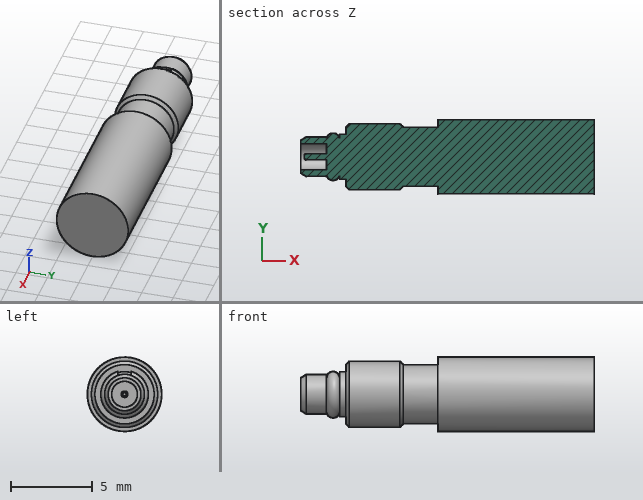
import cadquery as cq

length = 17.93

sleeve_radius = 2.28
body_radius = 2.03
neck_radius = 1.81
collar_radius = 1.38
tip_radius = 1.22
tip_face_radius = 1.0

tip_chamfer_end = 0.34
collar_start = 2.38
body_start = 2.76
body_end = 6.28
sleeve_start = 8.37
body_chamfer = body_radius - neck_radius

ring_width = 0.8
ring_section_radius = ring_width / 2
ring_outer_radius = 1.45
ring_center_radius = ring_outer_radius - ring_section_radius
ring_center_x = collar_start - ring_section_radius
groove_start = collar_start - ring_width
groove_radius = 1.08
ring_gap = 0.8

bore_radius = 0.79
bore_depth = groove_start
pin_radius = 0.2
pin_chamfer = 0.09
pin_recess = 0.22


def make_body():
    """Revolve the stepped outline about the X axis."""
    outline = [
        (0, 0),
        (0, tip_face_radius),
        (tip_chamfer_end, tip_radius),
        (groove_start, tip_radius),
        (groove_start, groove_radius),
        (collar_start, groove_radius),
        (collar_start, collar_radius),
        (body_start, collar_radius),
        (body_start, body_radius - body_chamfer),
        (body_start + body_chamfer, body_radius),
        (body_end - body_chamfer, body_radius),
        (body_end, neck_radius),
        (sleeve_start, neck_radius),
        (sleeve_start, sleeve_radius),
        (length, sleeve_radius),
        (length, 0),
    ]
    return cq.Workplane("XY").polyline(outline).close().revolve(360, (0, 0, 0), (1, 0, 0))


def make_snap_ring():
    """Round-section ring with a parallel-sided gap at the top."""
    ring = (
        cq.Workplane("XY")
        .center(ring_center_x, ring_center_radius)
        .circle(ring_section_radius)
        .revolve(360, (0, -ring_center_radius, 0), (1, -ring_center_radius, 0))
    )
    gap = (
        cq.Workplane("XY")
        .box(ring_width, ring_gap, ring_outer_radius, centered=(True, True, False))
        .translate((ring_center_x, 0, 0))
    )
    return ring.cut(gap)


def make_bore():
    return cq.Workplane("YZ").circle(bore_radius).extrude(bore_depth)


def make_pin():
    """Chamfered contact pin rooted in the floor of the bore."""
    return (
        cq.Workplane("YZ", origin=(pin_recess, 0, 0))
        .circle(pin_radius)
        .extrude(collar_start - pin_recess)
        .faces("<X")
        .chamfer(pin_chamfer)
    )


result = make_body().union(make_snap_ring()).cut(make_bore()).union(make_pin())